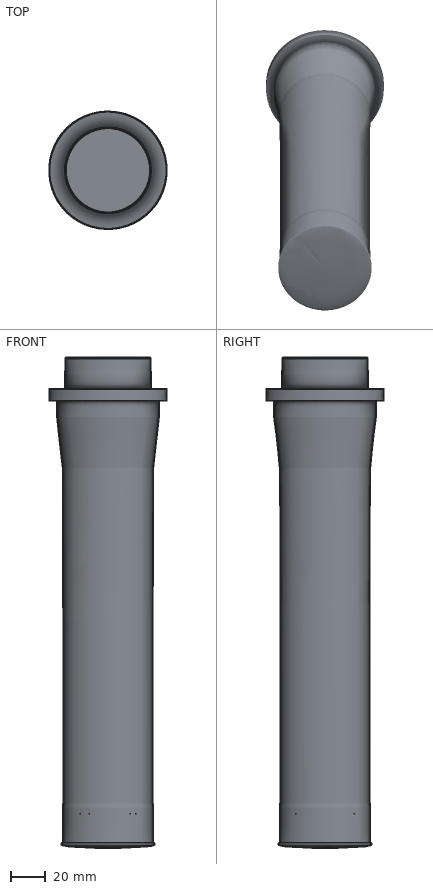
import cadquery as cq

TOTAL_HEIGHT = 284.0

FLANGE_RADIUS = 68.0 / 2
COLLAR_RADIUS = 59.0 / 2
NECK_RADIUS = 52.5 / 2
BARREL_RADIUS = 52.0 / 2
FOOT_RADIUS = 52.5 / 2

FLANGE_TOP_Z = 265.7
FLANGE_BOTTOM_Z = 258.5
COLLAR_BOTTOM_Z = 249.3
NECK_TOP_Z = 220.0
NECK_BOTTOM_Z = 215.0
BARREL_TOP_Z = 131.7
BARREL_BOTTOM_Z = 26.0
FOOT_TOP_Z = 23.5
FOOT_BOTTOM_Z = 3.0
FLANGE_CHAMFER = 0.3

RECESS_WALL = 0.7
RECESS_TOP_Z = 20.0
RECESS_RADIUS = FOOT_RADIUS - RECESS_WALL

CROWN_RADIUS = 42.0 / 2
CROWN_EDGE_Z = 0.9
LIP_RADIUS = 54.0 / 2
LIP_Z = 2.5
LIP_UNDERSIDE_RADIUS = 52.2 / 2
LIP_UNDERSIDE_Z = 1.7

SPIGOT_TOP_RADIUS = 49.7 / 2
SPIGOT_BASE_RADIUS = 50.0 / 2
SPIGOT_STEP_TOP_Z = 276.5
SPIGOT_STEP_BOTTOM_Z = 274.2
SPIGOT_CHAMFER_WIDTH = 0.5
SPIGOT_CHAMFER_HEIGHT = 0.9


def revolve_about_z(profile):
    """Turn a closed radius-height profile once around the Z axis."""
    return profile.close().revolve(360, (0, 0, 0), (0, 1, 0))


def make_housing():
    """Long barrel with a recessed foot, a flanged bell mouth and a round spigot on top."""
    profile = (
        cq.Workplane("XZ")
        .moveTo(0, RECESS_TOP_Z)
        .lineTo(RECESS_RADIUS, RECESS_TOP_Z)
        .lineTo(RECESS_RADIUS, FOOT_BOTTOM_Z)
        .lineTo(FOOT_RADIUS, FOOT_BOTTOM_Z)
        .lineTo(FOOT_RADIUS, FOOT_TOP_Z)
        .lineTo(BARREL_RADIUS, BARREL_BOTTOM_Z)
        .lineTo(BARREL_RADIUS, BARREL_TOP_Z)
        .lineTo(NECK_RADIUS, NECK_BOTTOM_Z)
        .lineTo(NECK_RADIUS, NECK_TOP_Z)
        .lineTo(COLLAR_RADIUS, COLLAR_BOTTOM_Z)
        .lineTo(COLLAR_RADIUS, FLANGE_BOTTOM_Z)
        .lineTo(FLANGE_RADIUS, FLANGE_BOTTOM_Z)
        .lineTo(FLANGE_RADIUS, FLANGE_TOP_Z - FLANGE_CHAMFER)
        .lineTo(FLANGE_RADIUS - FLANGE_CHAMFER, FLANGE_TOP_Z)
        .lineTo(SPIGOT_BASE_RADIUS, FLANGE_TOP_Z)
        .lineTo(SPIGOT_BASE_RADIUS, SPIGOT_STEP_BOTTOM_Z)
        .lineTo(SPIGOT_TOP_RADIUS, SPIGOT_STEP_TOP_Z)
        .lineTo(SPIGOT_TOP_RADIUS, TOTAL_HEIGHT - SPIGOT_CHAMFER_HEIGHT)
        .lineTo(SPIGOT_TOP_RADIUS - SPIGOT_CHAMFER_WIDTH, TOTAL_HEIGHT)
        .lineTo(0, TOTAL_HEIGHT)
    )
    return revolve_about_z(profile)


def make_cap():
    """Cap with a domed, lipped end and a stem that fills the recess of the foot."""
    profile = (
        cq.Workplane("XZ")
        .moveTo(0, 0)
        .spline(
            [
                (CROWN_RADIUS, CROWN_EDGE_Z),
                (LIP_UNDERSIDE_RADIUS, LIP_UNDERSIDE_Z),
                (LIP_RADIUS, LIP_Z),
                (FOOT_RADIUS, FOOT_BOTTOM_Z),
            ],
            tangents=[(1, 0), (-1, -1)],
            includeCurrent=True,
        )
        .lineTo(RECESS_RADIUS, FOOT_BOTTOM_Z)
        .lineTo(RECESS_RADIUS, RECESS_TOP_Z)
        .lineTo(0, RECESS_TOP_Z)
    )
    return revolve_about_z(profile)


housing = make_housing()
cap = make_cap()

result = cq.Compound.makeCompound([housing.val(), cap.val()])